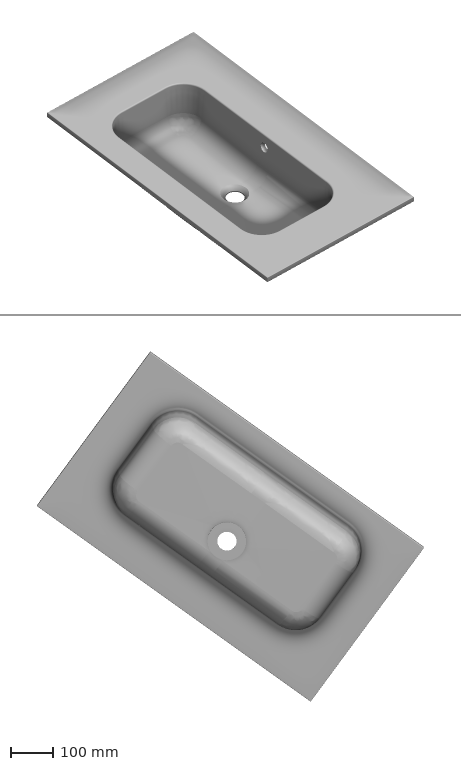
import cadquery as cq

SLAB_LENGTH = 805.0
SLAB_WIDTH = 460.0
SLAB_THICKNESS = 15.0
SLAB_EDGE_FILLET = 2.0

TOTAL_HEIGHT = 143.0

BASIN_CENTER_Y = -25.0
INNER_LENGTH = 576.0
INNER_WIDTH = 267.0
INNER_CORNER_RADIUS = 65.0
WALL = 13.0
WALL_DRAFT = 5.0
INNER_FLOOR_DEPTH = 121.0
FLOOR_THICKNESS = 11.0
INNER_FLOOR_FILLET = 40.0
RIM_FILLET = 4.0
UNDERSIDE_FILLET = 7.0

FLOOR_FALL_FRONT = 2.5
FLOOR_FALL_BACK = 10.5
FLOOR_STRIP_WIDTH = 40.0

DRAIN_Y = 14.5
DRAIN_DIAMETER = 46.0
DRAIN_SINK_DIAMETER = 74.0
DRAIN_SINK_TOP_DEPTH = 125.5
DRAIN_SINK_DEPTH = 14.5
DRAIN_PAD_DIAMETER = 92.0

OVERFLOW_DIAMETER = 25.0
OVERFLOW_DEPTH = 36.0

EDGE_MARGIN = 1.0

OUTER_LENGTH = INNER_LENGTH + 2 * WALL
OUTER_WIDTH = INNER_WIDTH + 2 * WALL
OUTER_CORNER_RADIUS = INNER_CORNER_RADIUS + WALL
OUTER_FLOOR_DEPTH = INNER_FLOOR_DEPTH + FLOOR_THICKNESS
OUTER_FLOOR_FILLET = INNER_FLOOR_FILLET + WALL


def rounded_rectangle(length, width, radius):
    return cq.Sketch().rect(length, width).vertices().fillet(radius)


def basin_edges_at(z):
    """Selector for the edges of the basin lying at height z."""
    half_length = OUTER_LENGTH / 2 + EDGE_MARGIN
    half_width = OUTER_WIDTH / 2 + EDGE_MARGIN
    return cq.selectors.BoxSelector(
        (-half_length, BASIN_CENTER_Y - half_width, z - EDGE_MARGIN),
        (half_length, BASIN_CENTER_Y + half_width, z + EDGE_MARGIN),
    )


def floor_envelope(length, width, depth):
    """Solid bounded below by the basin floor: level at both ends, with a middle strip tilted
    down towards the back wall and twisted panels joining it to the ends."""
    half_width = width / 2

    def cross_section(front_depth, back_depth):
        return [
            (BASIN_CENTER_Y - half_width, 0),
            (BASIN_CENTER_Y + half_width, 0),
            (BASIN_CENTER_Y + half_width, -back_depth),
            (BASIN_CENTER_Y - half_width, -front_depth),
        ]

    end_section = cross_section(depth, depth)
    strip_section = cross_section(depth + FLOOR_FALL_FRONT, depth + FLOOR_FALL_BACK)
    panel_length = (length - FLOOR_STRIP_WIDTH) / 2
    return (
        cq.Workplane("YZ", origin=(-length / 2, 0, 0))
        .polyline(end_section)
        .close()
        .workplane(offset=panel_length)
        .polyline(strip_section)
        .close()
        .workplane(offset=FLOOR_STRIP_WIDTH)
        .polyline(strip_section)
        .close()
        .workplane(offset=panel_length)
        .polyline(end_section)
        .close()
        .loft(ruled=True)
    )


def basin_body(length, width, radius, depth, floor_fillet):
    """Drafted tub with a sloping floor and a rounded edge between walls and floor."""
    tub = (
        cq.Workplane(origin=(0, BASIN_CENTER_Y, 0))
        .placeSketch(rounded_rectangle(length, width, radius))
        .extrude(-TOTAL_HEIGHT, taper=WALL_DRAFT)
        .intersect(floor_envelope(length, width, depth))
    )
    floor_edges = cq.selectors.BoxSelector(
        (-length, -length, -TOTAL_HEIGHT),
        (length, length, -depth + EDGE_MARGIN),
    )
    strip_seams = cq.selectors.BoxSelector(
        (-FLOOR_STRIP_WIDTH, BASIN_CENTER_Y - width / 4, -TOTAL_HEIGHT),
        (FLOOR_STRIP_WIDTH, BASIN_CENTER_Y + width / 4, 0),
    )
    return tub.edges(floor_edges - strip_seams).fillet(floor_fillet)


def drain_cylinder(diameter, top_z, height):
    return cq.Workplane(origin=(0, DRAIN_Y, top_z)).circle(diameter / 2).extrude(-height)


def drain_opening():
    """Conical sink around a plain hole through the basin floor."""
    sink = (
        cq.Workplane(origin=(0, DRAIN_Y, -DRAIN_SINK_TOP_DEPTH))
        .circle(DRAIN_SINK_DIAMETER / 2)
        .workplane(offset=-DRAIN_SINK_DEPTH)
        .circle(DRAIN_DIAMETER / 2)
        .loft(ruled=True)
    )
    return sink.union(drain_cylinder(DRAIN_DIAMETER, -DRAIN_SINK_TOP_DEPTH, TOTAL_HEIGHT))


def overflow_hole():
    return (
        cq.Workplane("XZ", origin=(0, BASIN_CENTER_Y, -OVERFLOW_DEPTH))
        .circle(OVERFLOW_DIAMETER / 2)
        .extrude(-OUTER_WIDTH)
    )


slab = cq.Workplane().box(
    SLAB_LENGTH, SLAB_WIDTH, SLAB_THICKNESS, centered=(True, True, False)
)
slab = slab.translate((0, 0, -SLAB_THICKNESS)).faces("<Z or >Z").edges().fillet(SLAB_EDGE_FILLET)

outer_body = basin_body(
    OUTER_LENGTH,
    OUTER_WIDTH,
    OUTER_CORNER_RADIUS,
    OUTER_FLOOR_DEPTH,
    OUTER_FLOOR_FILLET,
)
inner_body = basin_body(
    INNER_LENGTH,
    INNER_WIDTH,
    INNER_CORNER_RADIUS,
    INNER_FLOOR_DEPTH,
    INNER_FLOOR_FILLET,
)

pad_height = TOTAL_HEIGHT - OUTER_FLOOR_DEPTH
drain_pad = drain_cylinder(DRAIN_PAD_DIAMETER, -OUTER_FLOOR_DEPTH, pad_height)

basin = slab.union(outer_body).edges(basin_edges_at(-SLAB_THICKNESS)).fillet(UNDERSIDE_FILLET)
basin = basin.union(drain_pad).cut(inner_body)
basin = basin.edges(basin_edges_at(0)).fillet(RIM_FILLET)
result = basin.cut(drain_opening()).cut(overflow_hole())